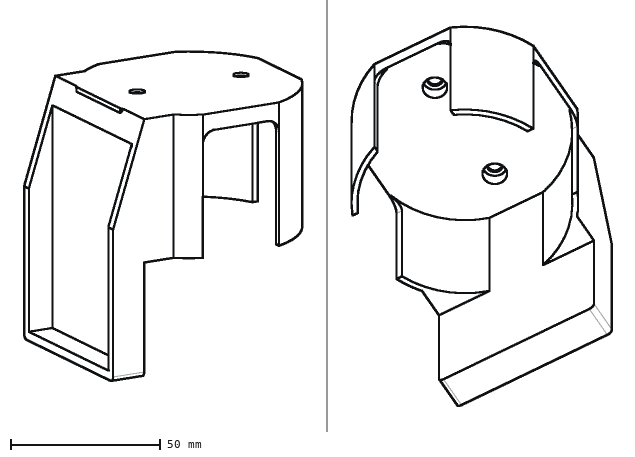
import cadquery as cq
import math

cap_radius = 37.95
flat_distance = 35.0
cap_height = 50.0
wall = 2.0
roof_thickness = 5.9
window_width = 2 * math.sqrt(cap_radius**2 - flat_distance**2)
window_corner_radius = 4.5
hole_diameter = 5.1
hole_spacing = 40.0
counterbore_diameter = 8.2
counterbore_cover = 1.0

holder_width = 60.0
holder_height = 89.9
holder_front = 46.5
holder_back = 34.4
slope_height = 36.8
bottom_corner_radius = 1.8
tray_floor = 37.4
tray_rim = 3.2


def round_body(radius, height, top):
    return cq.Workplane("XY").workplane(offset=top - height).circle(radius).extrude(height)


def make_cap():
    square = cq.Workplane("XY").box(
        2 * flat_distance, 2 * flat_distance, cap_height, centered=(True, True, False)
    ).translate((0, 0, -cap_height))
    return round_body(cap_radius, cap_height, 0).intersect(square)


def make_holder():
    profile = [
        (0, 0),
        (-holder_back, 0),
        (-holder_front, -slope_height),
        (-holder_front, -holder_height),
        (-holder_back, -holder_height),
        (-holder_back, -cap_height),
        (0, -cap_height),
    ]
    holder = cq.Workplane("YZ").polyline(profile).close().extrude(holder_width / 2, both=True)
    return holder.edges("|Y").edges("<Z").fillet(bottom_corner_radius)


def tray_pocket():
    pocket_depth = holder_front - tray_floor
    pocket_height = holder_height - tray_rim
    return cq.Workplane("XY").box(
        holder_width - 2 * tray_rim, pocket_depth, pocket_height, centered=(True, False, False)
    ).translate((0, -holder_front, tray_rim - holder_height))


def cavity():
    inner_height = cap_height - roof_thickness
    space = round_body(cap_radius - wall, inner_height, -roof_thickness)
    limit = cq.Workplane("XY").box(
        2 * cap_radius, holder_back + cap_radius, cap_height, centered=(True, False, False)
    ).translate((0, -holder_back, -cap_height))
    return space.intersect(limit)


def window(length):
    opening = cq.Workplane("XY").box(
        length, window_width, cap_height - roof_thickness, centered=(True, True, False)
    ).translate((0, 0, -cap_height))
    return opening.edges("|X").edges(">Z").fillet(window_corner_radius)


side_windows = window(2 * cap_radius)
back_window = window(cap_radius).translate((cap_radius / 2, 0, 0)).rotate((0, 0, 0), (0, 0, 1), 90)

screw_places = cq.Workplane("XY").pushPoints([(0, -hole_spacing / 2), (0, hole_spacing / 2)])
screw_holes = screw_places.circle(hole_diameter / 2).extrude(-roof_thickness)
counterbores = (
    screw_places.circle(counterbore_diameter / 2)
    .extrude(counterbore_cover - roof_thickness)
    .translate((0, 0, -counterbore_cover))
)

holder = make_holder().cut(tray_pocket())
result = make_cap().union(holder)
for opening in (cavity(), side_windows, back_window, screw_holes, counterbores):
    result = result.cut(opening)